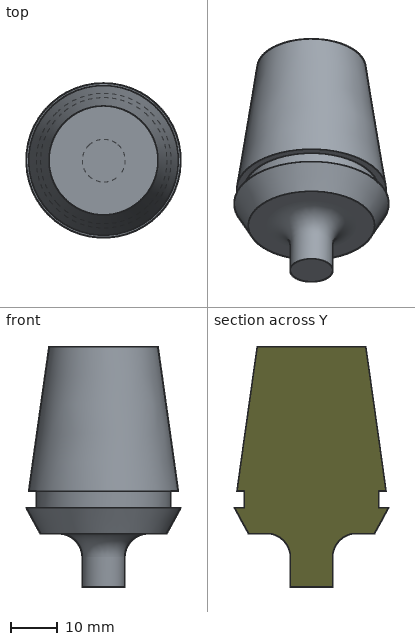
import cadquery as cq

stem_length = 6.4
flare_radius = 5.0
collar_height = 5.6
neck_height = 3.5
total_height = 51.4

collar_bottom = stem_length + flare_radius
collar_top = collar_bottom + collar_height
neck_top = collar_top + neck_height

stem_diameter = 9.15
collar_bottom_diameter = 27.0
collar_top_diameter = 33.1
neck_diameter = 28.8
body_bottom_diameter = 32.0
body_top_diameter = 23.3


def revolve_about_z(half_profile):
    """Full turn of a closed half profile about the Z axis."""
    return half_profile.revolve(360, (0, 0, 0), (0, 1, 0))


def frustum(bottom_diameter, top_diameter, bottom, top):
    """Solid cone frustum about the Z axis between two heights."""
    half_profile = (
        cq.Workplane("YZ")
        .moveTo(0, bottom)
        .lineTo(bottom_diameter / 2, bottom)
        .lineTo(top_diameter / 2, top)
        .lineTo(0, top)
        .close()
    )
    return revolve_about_z(half_profile)


def flared_stem():
    """Straight stem that flares through a concave quarter arc into the collar."""
    stem_radius = stem_diameter / 2
    half_profile = (
        cq.Workplane("YZ")
        .lineTo(stem_radius, 0)
        .lineTo(stem_radius, stem_length)
        .radiusArc((stem_radius + flare_radius, collar_bottom), flare_radius)
        .lineTo(0, collar_bottom)
        .close()
    )
    return revolve_about_z(half_profile)


stem = flared_stem()
collar = frustum(collar_bottom_diameter, collar_top_diameter, collar_bottom, collar_top)
neck = frustum(neck_diameter, neck_diameter, collar_top, neck_top)
body = frustum(body_bottom_diameter, body_top_diameter, neck_top, total_height)

result = stem.union(collar).union(neck).union(body)